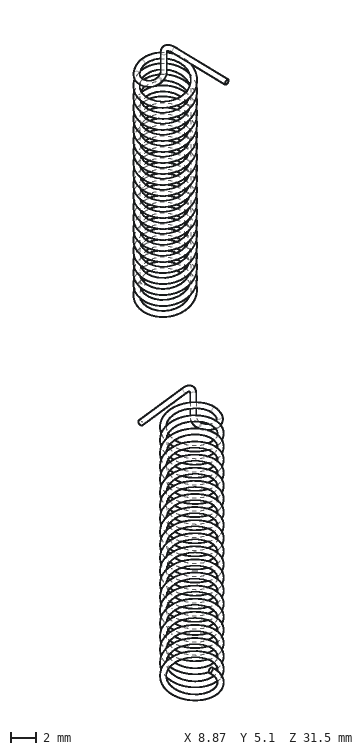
import cadquery as cq
import math

wire_diameter = 0.5
wire_radius = wire_diameter / 2
coil_outer_diameter = 5.1
coil_radius = (coil_outer_diameter - wire_diameter) / 2
pitch = 1.35
turns = 20
coil_height = pitch * turns

loop_radius = 1.0
loop_offset = coil_radius - loop_radius
leg_x = -0.1
leg_y = -0.05
loop_x = leg_x - loop_radius
loop_y = -math.sqrt(loop_offset**2 - loop_x**2)
join_angle = math.atan2(loop_y, loop_x)

overall_height = 31.45
arm_end_x = 6.32
foot_bend_radius = 0.5
arm_bend_radius = 1.0
arm_z = overall_height - 2 * wire_radius


def coil():
    """Right-handed helical wire, starting and ending on the -X side."""
    helix = cq.Wire.makeHelix(pitch, coil_height, coil_radius)
    spring = (
        cq.Workplane("XZ")
        .center(coil_radius, 0)
        .circle(wire_radius)
        .sweep(cq.Workplane(helix), isFrenet=True)
    )
    return spring.rotate((0, 0, 0), (0, 0, 1), 180)


def end_wire():
    """Flat hook, upright leg and arm, as one tangent run of wire."""
    half_join = (math.pi + join_angle % math.tau) / 2
    coil_end = cq.Vector(-coil_radius, 0, coil_height)
    coil_mid = cq.Vector(
        coil_radius * math.cos(half_join), coil_radius * math.sin(half_join), coil_height
    )
    join = cq.Vector(
        coil_radius * math.cos(join_angle), coil_radius * math.sin(join_angle), coil_height
    )
    loop_mid_angle = join_angle / 2
    loop_mid = cq.Vector(
        loop_x + loop_radius * math.cos(loop_mid_angle),
        loop_y + loop_radius * math.sin(loop_mid_angle),
        coil_height,
    )
    loop_end = cq.Vector(leg_x, loop_y, coil_height)
    foot_start = cq.Vector(leg_x, leg_y - foot_bend_radius, coil_height)
    leg_bottom = cq.Vector(leg_x, leg_y, coil_height + foot_bend_radius)
    leg_top = cq.Vector(leg_x, leg_y, arm_z - arm_bend_radius)
    arm_start = cq.Vector(leg_x + arm_bend_radius, leg_y, arm_z)
    arm_end = cq.Vector(arm_end_x, leg_y, arm_z)

    path = cq.Wire.assembleEdges([
        cq.Edge.makeThreePointArc(coil_end, coil_mid, join),
        cq.Edge.makeThreePointArc(join, loop_mid, loop_end),
        cq.Edge.makeLine(loop_end, foot_start),
        cq.Edge.makeTangentArc(foot_start, cq.Vector(0, 1, 0), leg_bottom),
        cq.Edge.makeLine(leg_bottom, leg_top),
        cq.Edge.makeTangentArc(leg_top, cq.Vector(0, 0, 1), arm_start),
        cq.Edge.makeLine(arm_start, arm_end),
    ])
    return (
        cq.Workplane("XZ", origin=coil_end.toTuple())
        .circle(wire_radius)
        .sweep(cq.Workplane(path))
    )


result = coil().union(end_wire())